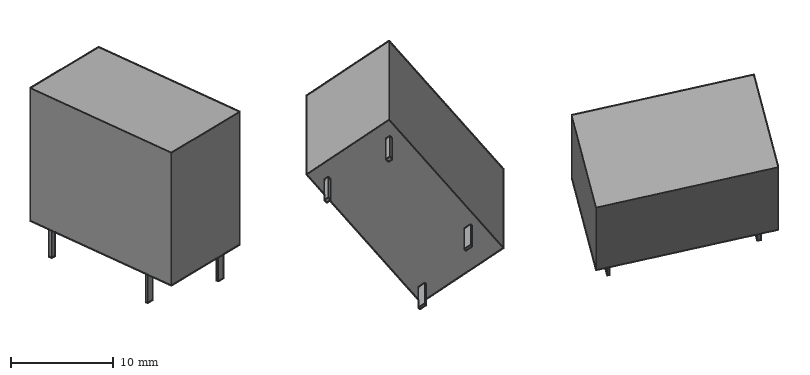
import cadquery as cq

body_length = 18.4
body_width = 10.21
body_height = 15.3

pin_length = 4.0
row_spacing = 7.62
coil_pin_thickness = 0.4
coil_pin_width = 0.5
contact_pin_thickness = 0.25
contact_pin_width = 0.8

grid_pitch = 2.54
coil_pin_inset = 1.7
inner_contact_steps = 5
outer_contact_steps = 6
coil_x = -body_length / 2 + coil_pin_inset
inner_contact_x = coil_x + inner_contact_steps * grid_pitch
outer_contact_x = coil_x + outer_contact_steps * grid_pitch
front_row_y = -row_spacing / 2
back_row_y = row_spacing / 2


def make_body():
    """Plain box that stands on the XY plane."""
    return cq.Workplane("XY").box(body_length, body_width, body_height, centered=(True, True, False))


def make_pin(x, y, thickness, width):
    """Flat pin of the given X thickness and Y width, reaching down from the base."""
    return cq.Workplane("XY").center(x, y).rect(thickness, width).extrude(-pin_length)


result = make_body()

for row_y in (front_row_y, back_row_y):
    result = result.union(make_pin(coil_x, row_y, coil_pin_thickness, coil_pin_width))

for contact_x, row_y in ((inner_contact_x, front_row_y), (outer_contact_x, back_row_y)):
    result = result.union(make_pin(contact_x, row_y, contact_pin_thickness, contact_pin_width))